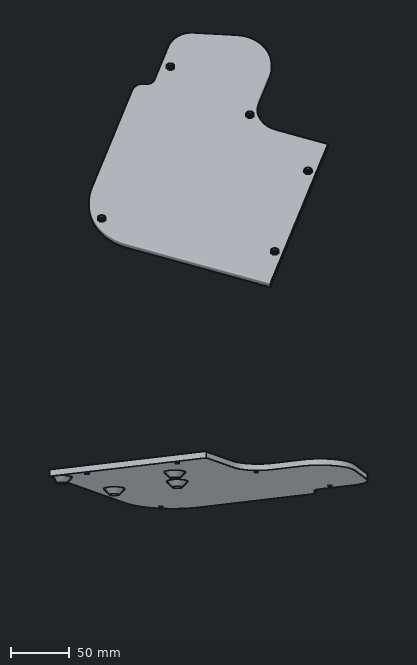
import cadquery as cq
import math

width = 176.8
length = 239.3
plate_thickness = 6.0
rim_radius = 1.5

body_top = 154.8
body_corner_radius = 47.0
neck_left = 14.5
neck_right = 106.2
inner_corner_radius = 23.7
shoulder_radius = 9.8
shoulder_fillet_radius = 7.2
crown_left_radius = 21.0
crown_right_radius = 31.0

hole_diameter = 3.5
counterbore_diameter = 7.0
counterbore_depth = 3.0
hole_centers = [(23.5, 188.0), (103.8, 162.0), (169.6, 122.0), (169.6, 33.0), (18.7, 18.7)]

foot_height = 5.0
foot_tip_radius = 4.0
foot_base_radius = foot_tip_radius + foot_height
foot_centers = [(103.4, 83.7), (103.4, 21.8), (138.0, 101.5), (167.3, 6.5)]
foot_front_limit = 3.0


def point_on_circle(center, radius, degrees):
    angle = math.radians(degrees)
    return (center[0] + radius * math.cos(angle), center[1] + radius * math.sin(angle))


def make_plate():
    crown_y = length - crown_right_radius
    crown_left = (neck_left + crown_left_radius, crown_y)
    crown_right = (neck_right - crown_right_radius, crown_y)
    radius_step = crown_right_radius - crown_left_radius
    slope = math.degrees(math.asin(radius_step / (crown_right[0] - crown_left[0])))
    slope_normal = 90 + slope

    shoulder = (shoulder_radius, body_top)
    s_radius = shoulder_radius + shoulder_fillet_radius
    s_run = s_radius - neck_left
    s_rise = math.sqrt(s_radius**2 - s_run**2)
    s_angle = math.degrees(math.atan2(s_rise, -s_run))
    fillet = (neck_left - shoulder_fillet_radius, body_top + s_rise)

    corner = (body_corner_radius, body_corner_radius)
    inner = (neck_right + inner_corner_radius, body_top + inner_corner_radius)

    outline = (
        cq.Workplane("XY")
        .moveTo(width, 0)
        .lineTo(width, body_top)
        .lineTo(inner[0], body_top)
        .threePointArc(point_on_circle(inner, inner_corner_radius, 225), (neck_right, inner[1]))
        .lineTo(neck_right, crown_y)
        .threePointArc(
            point_on_circle(crown_right, crown_right_radius, slope_normal / 2),
            point_on_circle(crown_right, crown_right_radius, slope_normal),
        )
        .lineTo(*point_on_circle(crown_left, crown_left_radius, slope_normal))
        .threePointArc(
            point_on_circle(crown_left, crown_left_radius, (slope_normal + 180) / 2),
            (neck_left, crown_y),
        )
        .lineTo(neck_left, fillet[1])
        .threePointArc(
            point_on_circle(fillet, shoulder_fillet_radius, (s_angle - 180) / 2),
            point_on_circle(shoulder, shoulder_radius, s_angle),
        )
        .threePointArc(
            point_on_circle(shoulder, shoulder_radius, (s_angle + 180) / 2),
            (0, body_top),
        )
        .lineTo(0, body_corner_radius)
        .threePointArc(
            point_on_circle(corner, body_corner_radius, 225),
            (body_corner_radius, 0),
        )
        .close()
    )
    plate = outline.extrude(plate_thickness)
    right_edge = cq.selectors.NearestToPointSelector((width, body_top / 2, plate_thickness))
    top_edges = cq.selectors.DirectionMinMaxSelector(cq.Vector(0, 0, 1))
    rim = cq.selectors.SubtractSelector(top_edges, right_edge)
    return plate.faces(">Z").edges(rim).fillet(rim_radius)


def make_foot(center):
    foot = cq.Solid.makeCone(
        foot_base_radius,
        foot_tip_radius,
        foot_height,
        pnt=cq.Vector(*center, 0),
        dir=cq.Vector(0, 0, -1),
    )
    return cq.Workplane(foot)


def make_feet():
    feet = make_foot(foot_centers[0])
    for center in foot_centers[1:]:
        feet = feet.union(make_foot(center))
    keep_zone = cq.Workplane("XY").box(width, length, foot_height, centered=False)
    return feet.intersect(keep_zone.translate((0, foot_front_limit, -foot_height)))


result = make_plate().union(make_feet())
result = (
    result.faces(">Z")
    .workplane(origin=(0, 0, plate_thickness))
    .pushPoints(hole_centers)
    .cboreHole(hole_diameter, counterbore_diameter, counterbore_depth)
)